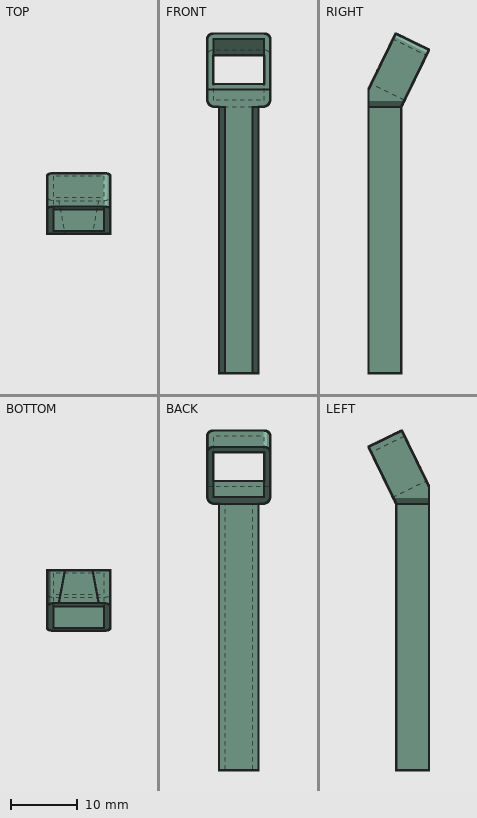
import cadquery as cq
import math

total_height = 50.95
total_depth = 9.1

stem_front_width = 4.15
stem_back_width = 5.95

head_width = 9.5
head_bottom = 39.95
bend_height = 42.55
tilt_degrees = 26.0
upper_corner_radius = 0.95
lower_corner_diameter = 2.3
window_width = 7.6
frame_wall = (head_width - window_width) / 2

tilt = math.radians(tilt_degrees)
face_length = (total_height - bend_height) / math.cos(tilt)
face_top_y = face_length * math.sin(tilt)
head_thickness = (total_depth - face_top_y) / math.cos(tilt)
back_top_z = total_height - head_thickness * math.sin(tilt)
stem_depth = total_depth - (back_top_z - head_bottom) * math.tan(tilt)


def make_stem():
    """Trapezoid bar running from Z = 0 to the underside of the head."""
    return (
        cq.Workplane("XY")
        .moveTo(-stem_front_width / 2, 0)
        .lineTo(stem_front_width / 2, 0)
        .lineTo(stem_back_width / 2, stem_depth)
        .lineTo(-stem_back_width / 2, stem_depth)
        .close()
        .extrude(head_bottom)
    )


def make_head():
    """Bent block with rounded upper and lower side corners."""
    side_profile = [
        (0, head_bottom),
        (0, bend_height),
        (face_top_y, total_height),
        (total_depth, back_top_z),
        (stem_depth, head_bottom),
    ]
    block = cq.Workplane("YZ").polyline(side_profile).close().extrude(head_width / 2, both=True)
    top_direction = cq.Vector(0, math.cos(tilt), -math.sin(tilt))
    top_edges = cq.selectors.ParallelDirSelector(top_direction)
    block = block.edges(top_edges).fillet(upper_corner_radius)
    return block.faces("<Z").edges("|Y").fillet(lower_corner_diameter / 2)


def make_window():
    """Rectangular opening square to the leaning face, with equal walls above and below."""
    height = face_length - 2 * frame_wall
    face_normal = cq.Vector(0, -math.cos(tilt), math.sin(tilt))
    face_center = (0, face_top_y / 2, (bend_height + total_height) / 2)
    face_plane = cq.Plane(origin=face_center, xDir=(1, 0, 0), normal=face_normal)
    return cq.Workplane(face_plane).rect(window_width, height).extrude(-head_thickness)


result = make_stem().union(make_head()).cut(make_window())